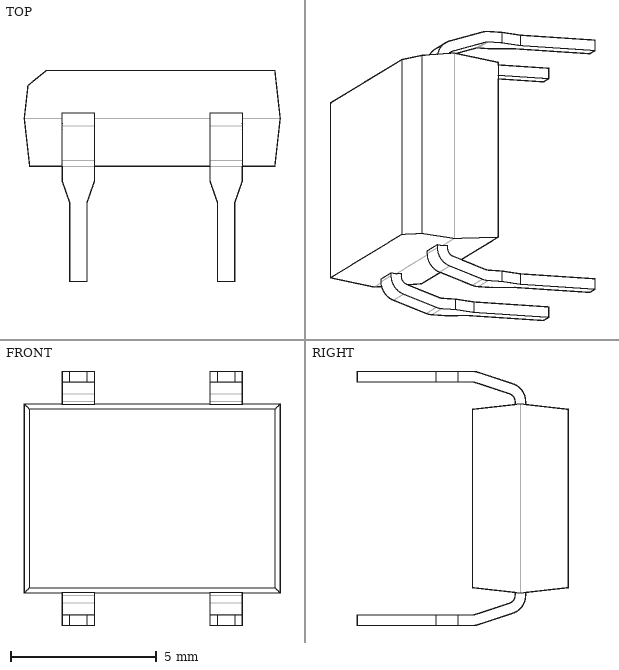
import cadquery as cq
import math

body_width = 8.8
body_height = 6.5
body_depth = 3.3
draft_inset = 0.185
half_depth = body_depth / 2

chamfer_x = 0.58
chamfer_y = 0.52

lead_pitch = 5.08
lead_span = 8.74
lead_thickness = 0.37
lead_width = 1.12
tip_width = 0.6
bend_radius = 0.28
slope_angle = math.radians(18.2)
tip_length = 3.96
taper_start = 0.5
taper_end = 1.25
embed_depth = 0.35

tip_y = -half_depth - tip_length


def make_body():
    def half(depth):
        return (
            cq.Workplane("XZ")
            .rect(body_width, body_height)
            .workplane(offset=depth)
            .rect(body_width - 2 * draft_inset, body_height - 2 * draft_inset)
            .loft(ruled=True)
        )

    body = half(half_depth).union(half(-half_depth))

    corner_x = -body_width / 2 + draft_inset
    side_y = half_depth - chamfer_y
    side_x = corner_x - draft_inset * chamfer_y / half_depth
    cutter = (
        cq.Workplane("XY")
        .polyline([(corner_x + chamfer_x, half_depth), (corner_x, half_depth), (side_x, side_y)])
        .close()
        .extrude(body_height / 2, both=True)
    )
    return body.cut(cutter)


def lead_side_profile():
    """Side outline of an upper lead in the YZ plane: stub, bend, slope, bend and straight pin."""
    outer_radius = bend_radius + lead_thickness
    middle_radius = bend_radius + lead_thickness / 2
    sin_slope = math.sin(slope_angle)
    cos_slope = math.cos(slope_angle)
    outer_z = lead_span / 2
    inner_z = outer_z - lead_thickness

    bend_2 = (-half_depth, inner_z - bend_radius)

    slope_length = (half_depth - middle_radius) / cos_slope
    bend_1_z = outer_z - lead_thickness / 2 - middle_radius - slope_length * sin_slope
    bend_1 = (-middle_radius, bend_1_z)
    root_z = body_height / 2 - embed_depth

    def on_bend(centre, radius, angle):
        return (centre[0] + radius * math.cos(angle), centre[1] + radius * math.sin(angle))

    slope_normal = math.pi / 2 - slope_angle
    bend_1_middle = slope_normal / 2
    bend_2_middle = (slope_normal + math.pi / 2) / 2

    return (
        cq.Workplane("YZ")
        .moveTo(lead_thickness / 2, root_z)
        .lineTo(lead_thickness / 2, bend_1_z)
        .threePointArc(
            on_bend(bend_1, outer_radius, bend_1_middle),
            on_bend(bend_1, outer_radius, slope_normal),
        )
        .lineTo(*on_bend(bend_2, outer_radius, slope_normal))
        .threePointArc(on_bend(bend_2, outer_radius, bend_2_middle), (-half_depth, outer_z))
        .lineTo(tip_y, outer_z)
        .lineTo(tip_y, inner_z)
        .lineTo(-half_depth, inner_z)
        .threePointArc(
            on_bend(bend_2, bend_radius, bend_2_middle),
            on_bend(bend_2, bend_radius, slope_normal),
        )
        .lineTo(*on_bend(bend_1, bend_radius, slope_normal))
        .threePointArc(
            on_bend(bend_1, bend_radius, bend_1_middle),
            (-lead_thickness / 2, bend_1_z),
        )
        .lineTo(-lead_thickness / 2, root_z)
        .close()
    )


def make_upper_lead():
    strip = lead_side_profile().extrude(lead_width / 2, both=True)

    half_outline = [
        (lead_width / 2, half_depth),
        (lead_width / 2, -half_depth - taper_start),
        (tip_width / 2, -half_depth - taper_end),
        (tip_width / 2, tip_y),
    ]
    mirrored = [(-x, y) for x, y in reversed(half_outline)]
    outline = cq.Workplane("XY").polyline(half_outline + mirrored).close().extrude(lead_span / 2)
    return strip.intersect(outline)


result = make_body()
upper_lead = make_upper_lead()
lower_lead = upper_lead.mirror("XY")
for lead_x in (-lead_pitch / 2, lead_pitch / 2):
    for lead in (upper_lead, lower_lead):
        result = result.union(lead.translate((lead_x, 0, 0)))